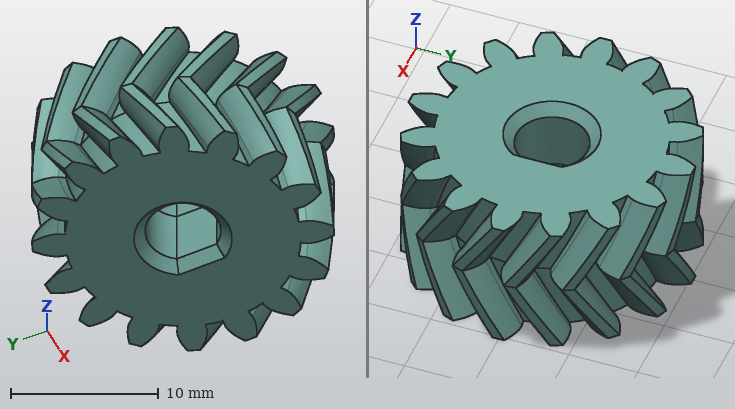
import cadquery as cq
import math


TOOTH_COUNT = 16
TIP_RADIUS = 10.24
GEAR_WIDTH = 10.0
HELIX_ANGLE = math.radians(30)
NORMAL_PRESSURE_ANGLE = math.radians(20)
DEDENDUM_FACTOR = 1.25
FLANK_STEPS = 6

BORE_RADIUS = 2.55
BORE_FLAT_X = 2.07
BORE_CHAMFER = 0.75

HALF_WIDTH = GEAR_WIDTH / 2
MODULE = 2 * TIP_RADIUS / (TOOTH_COUNT / math.cos(HELIX_ANGLE) + 2)
PITCH_RADIUS = TIP_RADIUS - MODULE
ROOT_RADIUS = PITCH_RADIUS - DEDENDUM_FACTOR * MODULE
PRESSURE_ANGLE = math.atan(math.tan(NORMAL_PRESSURE_ANGLE) / math.cos(HELIX_ANGLE))
BASE_RADIUS = PITCH_RADIUS * math.cos(PRESSURE_ANGLE)
TOOTH_PITCH = 2 * math.pi / TOOTH_COUNT
TWIST = HALF_WIDTH * math.tan(HELIX_ANGLE) / PITCH_RADIUS


def polar(radius, angle):
    return (radius * math.cos(angle), radius * math.sin(angle))


def involute_angle(radius):
    """Angle an involute has turned through between the base circle and this radius."""
    roll = math.acos(BASE_RADIUS / radius)
    return math.tan(roll) - roll


def half_tooth_angle(radius):
    """Half of the angle that a tooth spans at this radius, on its involute flank."""
    at_pitch = TOOTH_PITCH / 4
    return at_pitch + involute_angle(PITCH_RADIUS) - involute_angle(radius)


def gear_outline(phase):
    """Closed tooth outline, with the middle of one tooth at the phase angle."""
    flank_rise = (TIP_RADIUS - BASE_RADIUS) / FLANK_STEPS
    flank_radii = [BASE_RADIUS + step * flank_rise for step in range(FLANK_STEPS + 1)]
    foot_angle = half_tooth_angle(BASE_RADIUS)

    outline = cq.Workplane("XY").moveTo(*polar(ROOT_RADIUS, phase - foot_angle))
    for tooth in range(TOOTH_COUNT):
        middle = phase + tooth * TOOTH_PITCH
        rising = [polar(r, middle - half_tooth_angle(r)) for r in flank_radii]
        falling = [polar(r, middle + half_tooth_angle(r)) for r in reversed(flank_radii)]
        gap_middle = middle + TOOTH_PITCH / 2
        next_foot = middle + TOOTH_PITCH - foot_angle

        outline = outline.lineTo(*rising[0]).spline(rising[1:], includeCurrent=True)
        outline = outline.threePointArc(polar(TIP_RADIUS, middle), falling[0])
        outline = outline.spline(falling[1:], includeCurrent=True)
        outline = outline.lineTo(*polar(ROOT_RADIUS, middle + foot_angle))
        outline = outline.threePointArc(polar(ROOT_RADIUS, gap_middle), polar(ROOT_RADIUS, next_foot))
    return outline.close()


def d_outline(height, offset):
    """D-shaped bore outline at the given height, grown outward by the offset."""
    radius = BORE_RADIUS + offset
    flat_x = BORE_FLAT_X + offset
    flat_half_length = math.sqrt(radius**2 - flat_x**2)
    return (
        cq.Workplane("XY", origin=(0, 0, height))
        .moveTo(flat_x, flat_half_length)
        .threePointArc((-radius, 0), (flat_x, -flat_half_length))
        .close()
    )


def make_upper_half():
    """Helical half above the middle plane, its teeth on the axes at the top face."""
    half = gear_outline(-TWIST).twistExtrude(HALF_WIDTH, math.degrees(TWIST))
    bore = d_outline(0, 0).extrude(HALF_WIDTH)
    mouth = d_outline(HALF_WIDTH, BORE_CHAMFER).extrude(-BORE_CHAMFER, taper=45)
    return half.cut(bore).cut(mouth)


upper_half = make_upper_half()
lower_half = upper_half.mirror("XY")

result = cq.Compound.makeCompound([upper_half.val(), lower_half.val()])